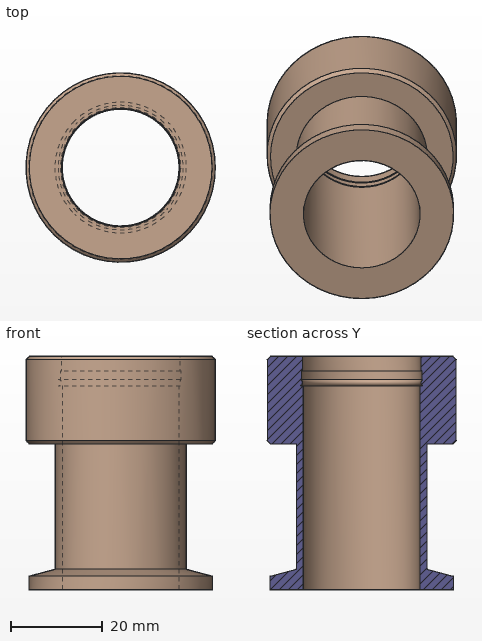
import cadquery as cq
import math

total_height = 50.93
collar_diameter = 41.27
collar_base_height = 31.75
collar_chamfer = 0.76

tube_outer_diameter = 28.57
tube_bore_diameter = 25.4
flange_diameter = 40.01
flange_rim_height = 3.0
flange_slope_angle = 15.0

mouth_diameter = 25.78
mouth_depth = 3.2
band_diameter = 26.19
band_height = 1.9

seal_inner_diameter = 25.78
seal_section_diameter = 1.4


def outer_body():
    """Flange, tube and collar as one solid of revolution without its bore."""
    collar_radius = collar_diameter / 2
    tube_radius = tube_outer_diameter / 2
    flange_radius = flange_diameter / 2
    slope_rise = (flange_radius - tube_radius) * math.tan(math.radians(flange_slope_angle))
    profile = (
        cq.Workplane("XZ")
        .lineTo(flange_radius, 0)
        .lineTo(flange_radius, flange_rim_height)
        .lineTo(tube_radius, flange_rim_height + slope_rise)
        .lineTo(tube_radius, collar_base_height)
        .lineTo(collar_radius - collar_chamfer, collar_base_height)
        .lineTo(collar_radius, collar_base_height + collar_chamfer)
        .lineTo(collar_radius, total_height - collar_chamfer)
        .lineTo(collar_radius - collar_chamfer, total_height)
        .lineTo(0, total_height)
        .close()
    )
    return profile.revolve(360, (0, 0), (0, 1))


def bore():
    """Through bore: tube, seal groove with the inner half of the ring, band and mouth."""
    tube_radius = tube_bore_diameter / 2
    band_radius = band_diameter / 2
    mouth_radius = mouth_diameter / 2
    seal_inner_radius = seal_inner_diameter / 2
    seal_center_radius = seal_inner_radius + seal_section_diameter / 2

    mouth_bottom = total_height - mouth_depth
    groove_top = mouth_bottom - band_height
    groove_bottom = groove_top - seal_section_diameter
    seal_center_height = (groove_top + groove_bottom) / 2

    profile = (
        cq.Workplane("XZ")
        .lineTo(tube_radius, 0)
        .lineTo(tube_radius, groove_bottom)
        .lineTo(seal_center_radius, groove_bottom)
        .threePointArc((seal_inner_radius, seal_center_height), (seal_center_radius, groove_top))
        .lineTo(band_radius, groove_top)
        .lineTo(band_radius, mouth_bottom)
        .lineTo(mouth_radius, mouth_bottom)
        .lineTo(mouth_radius, total_height)
        .lineTo(0, total_height)
        .close()
    )
    return profile.revolve(360, (0, 0), (0, 1))


result = outer_body().cut(bore())